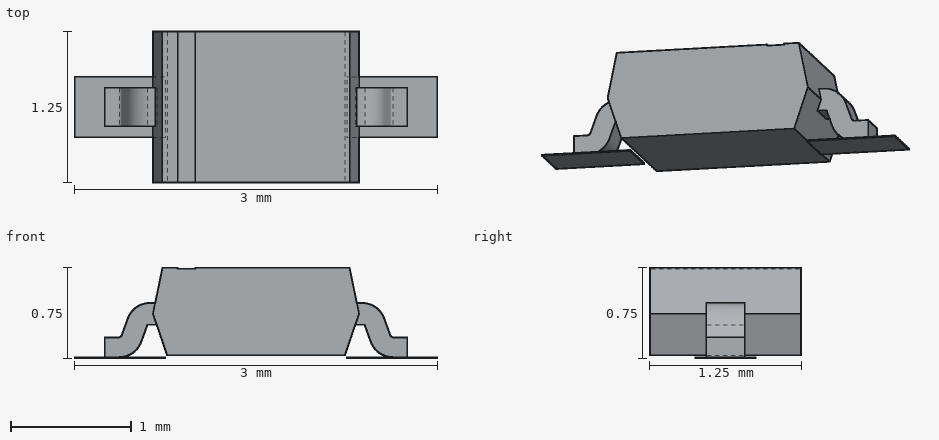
import cadquery as cq
import math

overall_length = 3.0
pad_length = 0.75
pad_width = 0.5
pad_thickness = 0.01

body_width = 1.25
body_bottom = 0.025
body_top = 0.75
parting_height = 0.37
bottom_half_length = 0.735
parting_half_length = 0.852
top_half_length = 0.775

groove_left = -0.648
groove_length = 0.145
groove_depth = 0.01

lead_width = 0.32
lead_tip = 1.25
lead_root = 0.81
lead_top = 0.46
shoulder_thickness = 0.183
foot_top = 0.175
lead_angle = math.radians(70)
shoulder_corner = 0.897
leg_thickness_along_x = 0.183
outer_bend_radius = 0.195
inner_bend_radius = 0.03


def make_body():
    half_section = [
        (bottom_half_length, body_bottom),
        (parting_half_length, parting_height),
        (top_half_length, body_top),
    ]
    mirrored = [(-x, z) for x, z in reversed(half_section)]
    body = (
        cq.Workplane("XZ")
        .polyline(half_section + mirrored)
        .close()
        .extrude(body_width / 2, both=True)
    )
    groove = cq.Workplane("XY").box(
        groove_length, body_width, groove_depth, centered=(False, True, False)
    ).translate((groove_left, 0, body_top - groove_depth))
    return body.cut(groove)


def make_pad():
    pad_center = (overall_length - pad_length) / 2
    return cq.Workplane("XY").box(
        pad_length, pad_width, pad_thickness, centered=(True, True, False)
    ).translate((pad_center, 0, 0))


def make_lead():
    shoulder_bottom = lead_top - shoulder_thickness

    def leg_x(z):
        """X of the leg's inner face at height z."""
        return shoulder_corner + (shoulder_bottom - z) / math.tan(lead_angle)

    heel = (leg_x(pad_thickness), pad_thickness)
    foot_bend = (leg_x(foot_top) + leg_thickness_along_x, foot_top)
    shoulder_bend = (leg_x(lead_top) + leg_thickness_along_x, lead_top)
    lead = (
        cq.Workplane("XZ")
        .polyline([
            (lead_root, shoulder_bottom),
            (shoulder_corner, shoulder_bottom),
            heel,
            (lead_tip, pad_thickness),
            (lead_tip, foot_top),
            foot_bend,
            shoulder_bend,
            (lead_root, lead_top),
        ])
        .close()
        .extrude(lead_width / 2, both=True)
    )

    def round_bend(solid, corner, radius):
        x, z = corner
        edge = cq.selectors.NearestToPointSelector((x, 0, z))
        return solid.edges("|Y").edges(edge).fillet(radius)

    lead = round_bend(lead, heel, outer_bend_radius)
    lead = round_bend(lead, shoulder_bend, outer_bend_radius)
    return round_bend(lead, foot_bend, inner_bend_radius)


terminal = make_lead().union(make_pad())
result = make_body().union(terminal).union(terminal.mirror("YZ"))